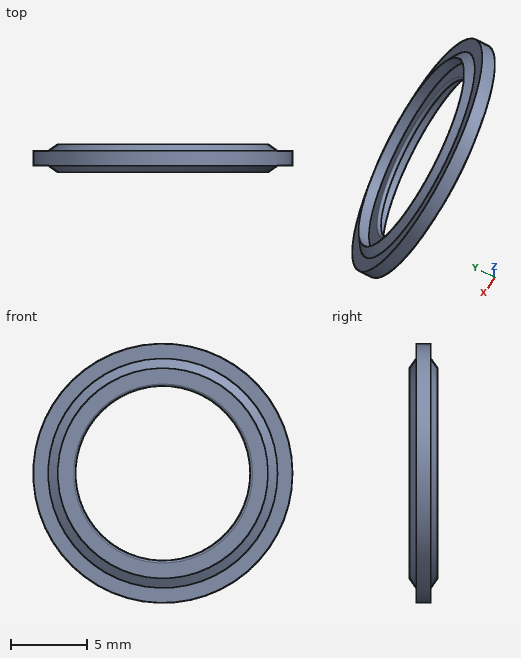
import cadquery as cq

outer_radius = 8.48
washer_thickness = 0.97

seal_thickness = 1.85
seal_base_radius = 7.5
crest_radius = 6.86
web_thickness = 0.3
bore_radius = 5.7


def revolve_about_y(profile):
    """Turn a closed profile (X is the radius) into a full ring around the Y axis."""
    return profile.revolve(360, (0, 0, 0), (0, 1, 0))


def make_washer():
    """Flat metal ring with a plain bore that holds the rubber."""
    half = washer_thickness / 2
    profile = (
        cq.Workplane("XY")
        .moveTo(seal_base_radius, -half)
        .lineTo(outer_radius, -half)
        .lineTo(outer_radius, half)
        .lineTo(seal_base_radius, half)
        .close()
    )
    return revolve_about_y(profile)


def make_seal():
    """Rubber ring with a sharp sealing crest on each face and a thin round-edged inner web."""
    half = seal_thickness / 2
    base = washer_thickness / 2
    web = web_thickness / 2
    edge_center_radius = bore_radius + web
    profile = (
        cq.Workplane("XY")
        .moveTo(edge_center_radius, -web)
        .lineTo(crest_radius, -web)
        .lineTo(crest_radius, -half)
        .lineTo(seal_base_radius, -base)
        .lineTo(seal_base_radius, base)
        .lineTo(crest_radius, half)
        .lineTo(crest_radius, web)
        .lineTo(edge_center_radius, web)
        .threePointArc((bore_radius, 0), (edge_center_radius, -web))
        .close()
    )
    return revolve_about_y(profile)


washer = make_washer()
seal = make_seal()

result = cq.Compound.makeCompound([washer.val(), seal.val()])